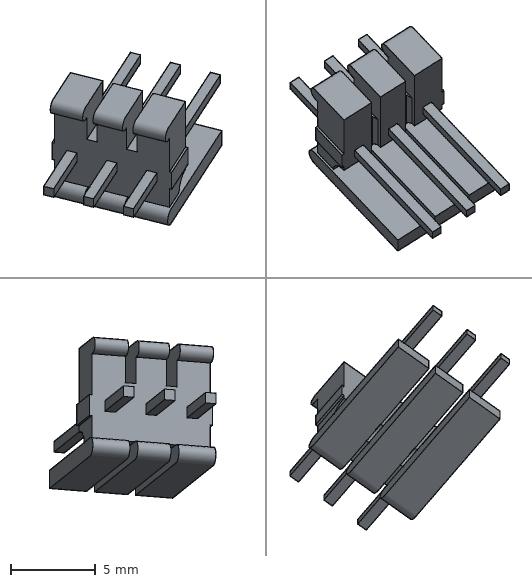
import cadquery as cq

pin_count = 3
pitch = 2.54
total_width = 7.61

pin_side = 0.65
pin_length = 13.72
pin_front_reach = 3.68
pin_height = 3.14

body_width = 7.33
body_depth = 2.54
total_height = 7.22
relief_radius = 1.0
side_pad_height = 1.28

nose_reach = 0.65
lip_thickness = 0.95
base_thickness = 1.11
base_back = 7.92

base_gap = 0.5
slot_width = 0.66
slot_floor = 4.66
groove_depth = 0.63
groove_floor_width = 0.41
groove_taper_depth = 0.37

gap_centers = [(i - (pin_count - 2) / 2) * pitch for i in range(pin_count - 1)]


def block(width, y_start, y_end, z_start, z_end, x_center=0):
    """Box centred on x_center in X, with explicit Y and Z limits."""
    return cq.Workplane("XY").box(
        width, y_end - y_start, z_end - z_start, centered=(True, False, False)
    ).translate((x_center, y_start, z_start))


def round_nosed_plate(width, y_end, z_start, thickness):
    """Plate across the part whose front edge is a full half round."""
    radius = thickness / 2
    nose_center = radius - nose_reach
    return (
        cq.Workplane("YZ")
        .moveTo(y_end, z_start)
        .lineTo(nose_center, z_start)
        .threePointArc((-nose_reach, z_start + radius), (nose_center, z_start + thickness))
        .lineTo(y_end, z_start + thickness)
        .close()
        .extrude(width / 2, both=True)
    )


def make_base():
    base = round_nosed_plate(total_width, base_back, 0, base_thickness)
    for x in gap_centers:
        base = base.cut(block(base_gap, -nose_reach, base_back, 0, base_thickness, x))
    return base


def make_groove(x_center):
    """Vertical groove in the body's back face, narrowing towards its floor."""
    floor_y = body_depth - groove_depth
    taper_y = floor_y + groove_taper_depth
    return (
        cq.Workplane("XY", origin=(x_center, 0, base_thickness))
        .moveTo(-slot_width / 2, body_depth)
        .lineTo(-slot_width / 2, taper_y)
        .lineTo(-groove_floor_width / 2, floor_y)
        .lineTo(groove_floor_width / 2, floor_y)
        .lineTo(slot_width / 2, taper_y)
        .lineTo(slot_width / 2, body_depth)
        .close()
        .extrude(total_height - base_thickness)
    )


def make_body():
    body = block(body_width, 0, body_depth, base_thickness, total_height)
    lip = round_nosed_plate(body_width, body_depth, total_height - lip_thickness, lip_thickness)
    side_pads = block(
        total_width, 0, body_depth, pin_height - side_pad_height / 2, pin_height + side_pad_height / 2
    )
    body = body.union(lip).union(side_pads)

    relief = (
        cq.Workplane("YZ")
        .center(body_depth, base_thickness)
        .circle(relief_radius)
        .extrude(total_width / 2, both=True)
    )
    body = body.cut(relief)

    for x in gap_centers:
        body = body.cut(block(slot_width, -nose_reach, body_depth, slot_floor, total_height, x))
        body = body.cut(make_groove(x))
    return body


result = make_base().union(make_body())
for index in range(pin_count):
    pin_x = (index - (pin_count - 1) / 2) * pitch
    pin = block(
        pin_side,
        -pin_front_reach,
        pin_length - pin_front_reach,
        pin_height - pin_side / 2,
        pin_height + pin_side / 2,
        pin_x,
    )
    result = result.union(pin)